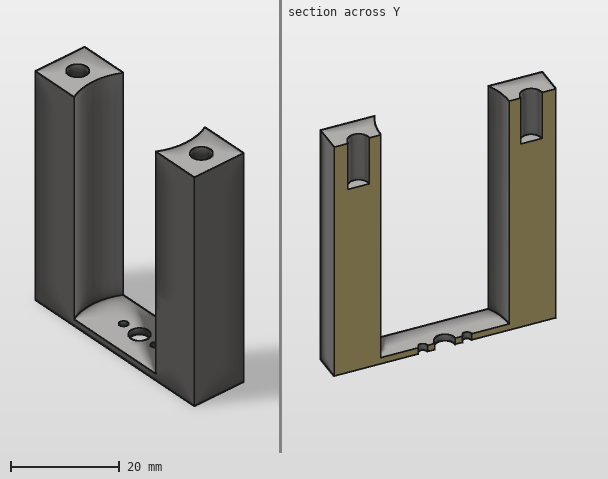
import cadquery as cq

length = 45.0
width = 12.0
height = 51.5

bore_diameter = 26.0
floor_thickness = 1.5

center_hole_diameter = 4.1
side_hole_diameter = 1.8
side_hole_offset = 4.5

post_hole_diameter = 4.3
post_hole_offset = 17.5
post_hole_depth = 10.3


def vertical_cylinders(diameter, centers, bottom, top):
    """Upright cylinders of one diameter between two heights."""
    return (
        cq.Workplane("XY")
        .workplane(offset=bottom)
        .pushPoints(centers)
        .circle(diameter / 2)
        .extrude(top - bottom)
    )


def mirrored_pair(offset):
    """Two centers on the X axis, placed symmetrically about the origin."""
    return [(-offset, 0), (offset, 0)]


block = cq.Workplane("XY").box(length, width, height, centered=(True, True, False))
bore = vertical_cylinders(bore_diameter, [(0, 0)], floor_thickness, height)
center_hole = vertical_cylinders(center_hole_diameter, [(0, 0)], 0, floor_thickness)
side_holes = vertical_cylinders(
    side_hole_diameter, mirrored_pair(side_hole_offset), 0, floor_thickness
)
post_holes = vertical_cylinders(
    post_hole_diameter, mirrored_pair(post_hole_offset), height - post_hole_depth, height
)

result = block.cut(bore).cut(center_hole).cut(side_holes).cut(post_holes)